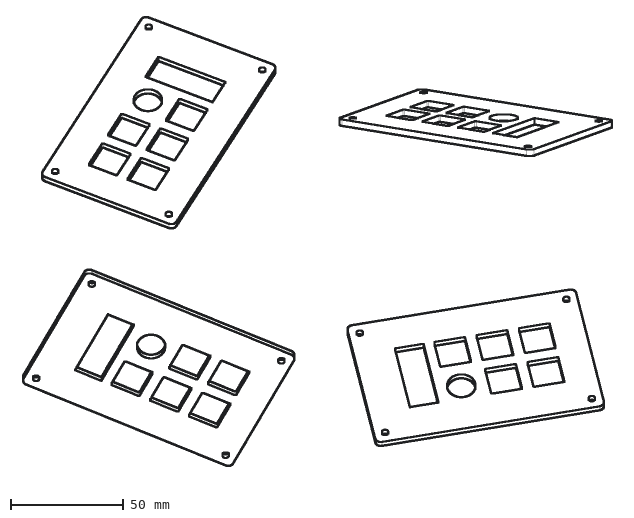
import cadquery as cq

plate_width = 66.3
plate_length = 103.8
plate_thickness = 3.0
corner_radius = 2.5

screw_diameter = 2.9
screw_spacing_x = 56.4
screw_spacing_y = 93.9

key_size = 14.0
key_pitch = 19.2
key_corner_radius = 0.5
bottom_row_y = -29.9
left_column_x = -key_pitch / 2
right_column_x = key_pitch / 2
middle_row_y = bottom_row_y + key_pitch
top_row_y = middle_row_y + key_pitch
key_centres = [
    (left_column_x, bottom_row_y),
    (right_column_x, bottom_row_y),
    (left_column_x, middle_row_y),
    (right_column_x, middle_row_y),
    (right_column_x, top_row_y),
]

knob_diameter = 12.7
knob_x = left_column_x
knob_y = top_row_y

window_width = key_pitch + key_size
window_height = 13.0
window_y = 26.8


def opening(width, height, radius, centres):
    """Rounded rectangular cutters, as deep as the plate, at the given centres."""
    return (
        cq.Workplane("XY")
        .pushPoints(centres)
        .rect(width, height)
        .extrude(plate_thickness)
        .edges("|Z")
        .fillet(radius)
    )


plate = (
    cq.Workplane("XY")
    .rect(plate_width, plate_length)
    .extrude(plate_thickness)
    .edges("|Z")
    .fillet(corner_radius)
)

screw_holes = (
    cq.Workplane("XY")
    .rect(screw_spacing_x, screw_spacing_y, forConstruction=True)
    .vertices()
    .circle(screw_diameter / 2)
    .extrude(plate_thickness)
)

knob_hole = (
    cq.Workplane("XY")
    .center(knob_x, knob_y)
    .circle(knob_diameter / 2)
    .extrude(plate_thickness)
)

key_openings = opening(key_size, key_size, key_corner_radius, key_centres)
window = cq.Workplane("XY").center(0, window_y).rect(window_width, window_height).extrude(plate_thickness)

result = plate.cut(screw_holes).cut(knob_hole).cut(key_openings).cut(window)